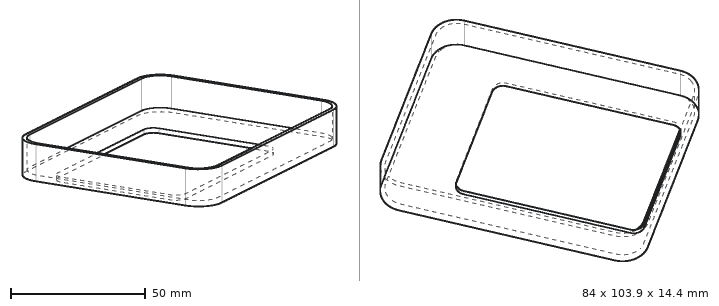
import cadquery as cq

length = 103.9
width = 84.0
height = 14.4
corner_radius = 9.9
wall = 1.7
floor = 2.0

window_width = 54.9
window_length = 73.4
window_corner_radius = 4.2
window_center_y = -11.2


def rounded_block(size_x, size_y, size_z, radius):
    """Block standing on Z = 0 with rounded vertical edges."""
    block = cq.Workplane("XY").box(size_x, size_y, size_z, centered=(True, True, False))
    return block.edges("|Z").fillet(radius)


tray = rounded_block(width, length, height, corner_radius)

cavity = rounded_block(
    width - 2 * wall,
    length - 2 * wall,
    height - floor,
    corner_radius - wall,
).translate((0, 0, floor))

window = rounded_block(
    window_width, window_length, floor, window_corner_radius
).translate((0, window_center_y, 0))

result = tray.cut(cavity).cut(window)